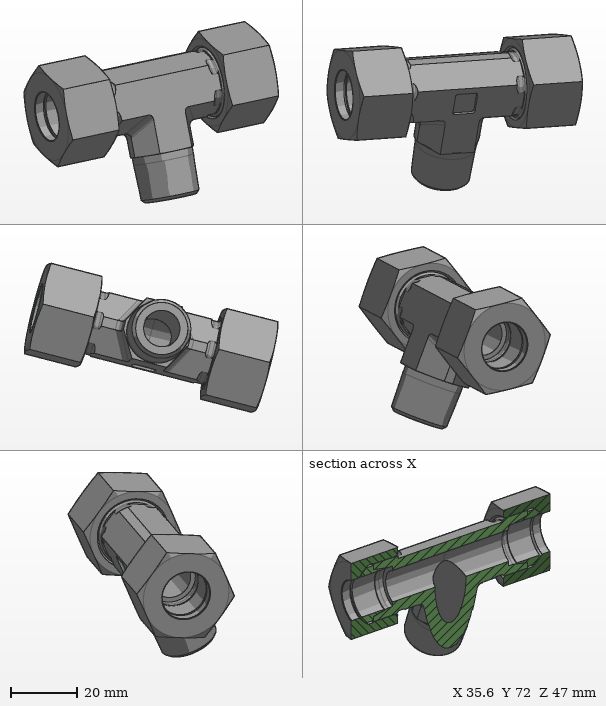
import cadquery as cq
import math

TILT = -22.5

HEX_ACROSS_FLATS = 19.0
HEX_TRIMMED_HEIGHT = 20.2

END_Y = 28.0
SPIGOT_D = 21.4
GROOVE_D = 19.65
GROOVE_FLOOR_START = 17.1
GROOVE_FLOOR_END = 18.35
SHOULDER_FILLET = 1.0
RUNOUT_FILLET = 0.7
RUN_BORE_D = 12.0

TUBE_D = 15.0
TUBE_STOP_Y = 21.0
CONE_MOUTH_D = 17.3
CONE_HALF_ANGLE = 12

ROOT_LENGTH = 17.7
NECK_D = 18.5
NECK_LENGTH = 2.3
BRANCH_LENGTH = 32.0
TAPER_END_D = 17.85
BRANCH_CHAMFER = 1.0
BRANCH_BORE_D = 11.0
BRANCH_FILLET = 1.8

RECESS_SIZE = 7.2
RECESS_CORNER = 0.9
RECESS_DEPTH = 1.0

NUT_END_Y = 36.0
NUT_LENGTH = 17.0
NUT_ACROSS_FLATS = 27.0
NUT_CHAMFER_ANGLE = 15
NUT_MOUTH_D = 22.5
NUT_HOLE_D = TUBE_D
NUT_HOLE_DEPTH = 2.95
NUT_HOLE_CHAMFER = 0.2

RING_COLLAR_D = 20.4
RING_TIP_WALL = 0.3
RING_SETBACK = 0.9

HEX_FLAT_X = HEX_ACROSS_FLATS / 2
HEX_TRIM = HEX_TRIMMED_HEIGHT / 2
HEX_HALF_SIDE = HEX_FLAT_X * math.tan(math.radians(30))
RUNOUT_ANGLE = math.radians(45)
RUNOUT_START_R = GROOVE_D / 2 + RUNOUT_FILLET * (1 - math.cos(RUNOUT_ANGLE))
RUNOUT_START_Y = GROOVE_FLOOR_END + RUNOUT_FILLET * math.sin(RUNOUT_ANGLE)
CONE_SLOPE = math.tan(math.radians(CONE_HALF_ANGLE))
CONE_BOTTOM_Y = END_Y - (CONE_MOUTH_D - TUBE_D) / 2 / CONE_SLOPE
NUT_START_Y = NUT_END_Y - NUT_LENGTH
SEAT_Y = NUT_END_Y - NUT_HOLE_DEPTH


def revolve_about_y(outline):
    """Solid of revolution about Y from a list of (radius, y) corners."""
    return cq.Workplane("XY").polyline(outline).close().revolve(360, (0, 0, 0), (0, 1, 0))


def mirror_to_minus_y(body):
    return body.mirror("XZ")


def trimmed_hexagon(plane):
    """Hexagon outline with flats at +-x whose two corners at +-y are cut flat."""
    trim_x = (2 * HEX_HALF_SIDE - HEX_TRIM) * math.tan(math.radians(60))
    corners = [(HEX_FLAT_X, HEX_HALF_SIDE), (trim_x, HEX_TRIM)]
    upper = corners + [(-x, y) for x, y in reversed(corners)]
    lower = [(-x, -y) for x, y in upper]
    return cq.Workplane(plane).polyline(upper + lower).close()


def make_groove():
    """Ring-shaped cutter for the groove at the +Y end of the hexagon."""
    floor_r = GROOVE_D / 2
    shoulder_y = GROOVE_FLOOR_START - SHOULDER_FILLET
    outside_r = HEX_ACROSS_FLATS
    shoulder_arc_middle = (
        floor_r + SHOULDER_FILLET * (1 - math.cos(math.radians(45))),
        GROOVE_FLOOR_START - SHOULDER_FILLET * math.sin(math.radians(45)),
    )
    runout_arc_middle = (
        floor_r + RUNOUT_FILLET * (1 - math.cos(RUNOUT_ANGLE / 2)),
        GROOVE_FLOOR_END + RUNOUT_FILLET * math.sin(RUNOUT_ANGLE / 2),
    )
    return (
        cq.Workplane("XY")
        .moveTo(floor_r + SHOULDER_FILLET, shoulder_y)
        .threePointArc(shoulder_arc_middle, (floor_r, GROOVE_FLOOR_START))
        .lineTo(floor_r, GROOVE_FLOOR_END)
        .threePointArc(runout_arc_middle, (RUNOUT_START_R, RUNOUT_START_Y))
        .lineTo(outside_r, RUNOUT_START_Y)
        .lineTo(outside_r, shoulder_y)
        .close()
        .revolve(360, (0, 0, 0), (0, 1, 0))
    )


def make_spigot():
    """Round +Y end of the run, widening from the end of the hexagon in a conical run-out."""
    spigot_r = SPIGOT_D / 2
    runout_length = (spigot_r - RUNOUT_START_R) / math.tan(RUNOUT_ANGLE)
    return revolve_about_y([
        (0, RUNOUT_START_Y),
        (RUNOUT_START_R, RUNOUT_START_Y),
        (spigot_r, RUNOUT_START_Y + runout_length),
        (spigot_r, END_Y),
        (0, END_Y),
    ])


def make_socket():
    """Cavity in the +Y run end: tube socket opening into the cone."""
    tube_r = TUBE_D / 2
    return revolve_about_y([
        (0, TUBE_STOP_Y),
        (tube_r, TUBE_STOP_Y),
        (tube_r, CONE_BOTTOM_Y),
        (CONE_MOUTH_D / 2, END_Y),
        (0, END_Y),
    ])


def make_stud():
    """Round neck and tapered end of the branch, from the tee centre to its tip at -Z."""
    neck_r = NECK_D / 2
    taper_r = TAPER_END_D / 2
    stud = [
        (0, 0),
        (neck_r, 0),
        (neck_r, ROOT_LENGTH + NECK_LENGTH),
        (taper_r, BRANCH_LENGTH - BRANCH_CHAMFER),
        (taper_r - BRANCH_CHAMFER, BRANCH_LENGTH),
        (0, BRANCH_LENGTH),
    ]
    return revolve_about_y(stud).rotate((0, 0, 0), (1, 0, 0), -90)


def make_marking_recess():
    """Cutter for the square recess with rounded corners."""
    return (
        cq.Workplane("YZ", origin=(-HEX_FLAT_X, 0, 0))
        .rect(RECESS_SIZE, RECESS_SIZE)
        .extrude(RECESS_DEPTH)
        .edges("|X")
        .fillet(RECESS_CORNER)
    )


def make_tee():
    run = trimmed_hexagon("XZ").extrude(RUNOUT_START_Y, both=True)
    root = trimmed_hexagon("XY").extrude(-ROOT_LENGTH)
    tee = run.union(root).clean()

    reach = HEX_TRIM + 0.1
    inside_corner = cq.selectors.BoxSelector((-reach, -reach, -reach), (reach, reach, -HEX_HALF_SIDE))
    tee = tee.edges(inside_corner).fillet(BRANCH_FILLET)

    groove = make_groove()
    spigot = make_spigot()
    socket = make_socket()
    tee = tee.cut(groove).cut(mirror_to_minus_y(groove))
    tee = tee.union(spigot).union(mirror_to_minus_y(spigot)).union(make_stud())
    tee = tee.cut(socket).cut(mirror_to_minus_y(socket))

    run_bore = cq.Workplane("XZ").circle(RUN_BORE_D / 2).extrude(END_Y, both=True)
    branch_bore = cq.Workplane("XY").circle(BRANCH_BORE_D / 2).extrude(-BRANCH_LENGTH)
    return tee.cut(run_bore).cut(branch_bore).cut(make_marking_recess())


def seat_cone_y(radius):
    """Y at which the 45 degree seat between nut and cutting ring has this radius."""
    return SEAT_Y - (radius - NUT_HOLE_D / 2)


def make_nut():
    """Union nut on the +Y end of the run."""
    corner_r = NUT_ACROSS_FLATS / 2 / math.cos(math.radians(30))
    face_r = NUT_ACROSS_FLATS / 2
    chamfer = (corner_r - face_r) * math.tan(math.radians(NUT_CHAMFER_ANGLE))
    blank = (
        cq.Workplane("XZ", origin=(0, NUT_END_Y, 0))
        .transformed(rotate=(0, 0, 30))
        .polygon(6, 2 * corner_r)
        .extrude(NUT_LENGTH)
    )
    chamfered_bar = revolve_about_y([
        (0, NUT_START_Y),
        (face_r, NUT_START_Y),
        (corner_r, NUT_START_Y + chamfer),
        (corner_r, NUT_END_Y - chamfer),
        (face_r, NUT_END_Y),
        (0, NUT_END_Y),
    ])
    mouth_r = NUT_MOUTH_D / 2
    bore_r = SPIGOT_D / 2
    hole_r = NUT_HOLE_D / 2
    cavity = revolve_about_y([
        (0, NUT_START_Y),
        (mouth_r, NUT_START_Y),
        (bore_r, NUT_START_Y + mouth_r - bore_r),
        (bore_r, seat_cone_y(bore_r)),
        (hole_r, SEAT_Y),
        (hole_r, NUT_END_Y - NUT_HOLE_CHAMFER),
        (hole_r + NUT_HOLE_CHAMFER, NUT_END_Y),
        (0, NUT_END_Y),
    ])
    return blank.intersect(chamfered_bar).cut(cavity)


def make_cutting_ring():
    """Ring wedged between the cone of the +Y run end and the seat in the nut."""
    tube_r = TUBE_D / 2
    tip_r = tube_r + RING_TIP_WALL
    collar_r = RING_COLLAR_D / 2
    tip_y = CONE_BOTTOM_Y + RING_TIP_WALL / CONE_SLOPE
    return revolve_about_y([
        (tube_r, tip_y),
        (tip_r, tip_y),
        (CONE_MOUTH_D / 2, END_Y),
        (collar_r, END_Y),
        (collar_r, seat_cone_y(collar_r)),
        (NUT_HOLE_D / 2 + RING_SETBACK, SEAT_Y - RING_SETBACK),
        (tube_r, SEAT_Y - RING_SETBACK),
    ])


bodies = [make_tee()]
for make_end_part in (make_nut, make_cutting_ring):
    end_part = make_end_part()
    bodies += [end_part, mirror_to_minus_y(end_part)]

result = cq.Compound.makeCompound([body.val().rotate((0, 0, 0), (0, 1, 0), TILT) for body in bodies])